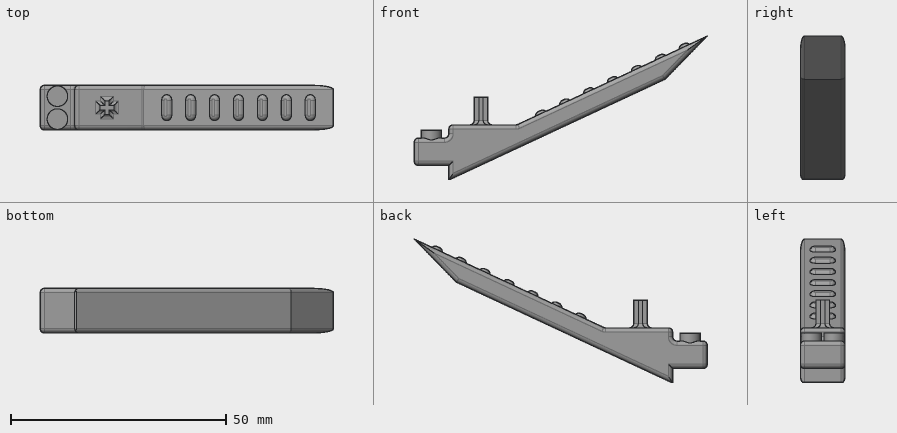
import cadquery as cq
import math

length = 68.1
width = 10.4
height = 33.3

edge_radius = 1.0
nose_bottom = 3.2
nose_top = 9.6
step_x = 8.05
shelf_top = 12.65
slope = math.tan(math.radians(25))
ramp_start_x = length - (height - shelf_top) / slope
heel_x = step_x + 0.4
underside_end_x = 58.3
underside_end_z = (underside_end_x - heel_x) * slope
overrun = 13.6

peg_diameter = 4.8
peg_x = 4.0
peg_spacing = 5.3
peg_top = 11.45

post_x = 15.5
post_top = 19.05
post_span = 3.2
post_arm = 1.0
post_flare = 1.0

rib_count = 7
rib_pitch = 6.1
first_rib_distance = 6.1
rib_length = 6.1
rib_width = 2.7
rib_height = 0.7
rib_round = 1.0


def side_prism(points):
    """Extrude an XZ outline symmetrically across the full width."""
    return cq.Workplane("XZ").polyline(points).close().extrude(width / 2, both=True)


def edge_across(x, z):
    """Selector for the edge that runs along Y through (x, z)."""
    gap = 0.1
    return cq.selectors.BoxSelector((x - gap, -width, z - gap), (x + gap, width, z + gap))


def make_body():
    far_x = length + overrun
    far_rise = overrun * slope
    body = side_prism([
        (0, nose_bottom),
        (step_x, nose_bottom),
        (step_x, (step_x - heel_x) * slope),
        (far_x, (far_x - heel_x) * slope),
        (far_x, height + far_rise),
        (ramp_start_x, shelf_top),
        (step_x, shelf_top),
        (step_x, nose_top),
        (0, nose_top),
    ])
    rounded_corners = [
        (0, nose_bottom),
        (0, nose_top),
        (step_x, nose_top),
        (step_x, shelf_top),
        (ramp_start_x, shelf_top),
    ]
    edges = body.edges("<Y or >Y")
    for x, z in rounded_corners:
        edges = edges.add(body.edges(edge_across(x, z)))
    body = edges.fillet(edge_radius)

    tip_slope = (height - underside_end_z) / (length - underside_end_x)
    low_x = underside_end_x - underside_end_z / tip_slope - overrun
    high_x = length + overrun
    low_z = -overrun * tip_slope
    high_z = height + overrun * tip_slope
    tip = side_prism([(low_x, low_z), (high_x, high_z), (-overrun, high_z), (-overrun, low_z)])
    tip_face = tip.faces(cq.selectors.DirectionMinMaxSelector(cq.Vector(tip_slope, 0, -1), True))
    tip = tip_face.edges("<Y or >Y").fillet(edge_radius)
    body = body.intersect(tip)

    above_base = cq.Workplane("XY").box(3 * length, 2 * width, 2 * height, centered=(True, True, False))
    return body.intersect(above_base)


def make_pegs():
    return (
        cq.Workplane("XY", origin=(peg_x, 0, nose_bottom + edge_radius))
        .pushPoints([(0, -peg_spacing / 2), (0, peg_spacing / 2)])
        .circle(peg_diameter / 2)
        .extrude(peg_top - nose_bottom - edge_radius)
    )


def flared_bar(span, depth):
    """Bar of the post profile along X, flaring out at its foot by quarter rounds."""
    half = span / 2
    foot = half + post_flare
    reach = post_flare * (1 - math.sqrt(0.5))
    foot_top = post_flare
    return (
        cq.Workplane("XZ")
        .moveTo(-foot, 0)
        .threePointArc((-half - reach, reach), (-half, foot_top))
        .lineTo(-half, post_top - shelf_top)
        .lineTo(half, post_top - shelf_top)
        .lineTo(half, foot_top)
        .threePointArc((half + reach, reach), (foot, 0))
        .lineTo(foot, -edge_radius)
        .lineTo(-foot, -edge_radius)
        .close()
        .extrude(depth, both=True)
    )


def make_post():
    def flared_block(span_x, span_y):
        across = flared_bar(span_y, length).rotate((0, 0, 0), (0, 0, 1), 90)
        return flared_bar(span_x, length).intersect(across)

    post = flared_block(post_span, post_arm).union(flared_block(post_arm, post_span))
    return post.translate((post_x, 0, shelf_top))


def make_rib(distance):
    ramp = cq.Plane(
        origin=(ramp_start_x, 0, shelf_top),
        xDir=(1, 0, slope),
        normal=(-slope, 0, 1),
    )
    return (
        cq.Workplane(ramp)
        .workplane(offset=rib_height - rib_round - 0.15)
        .center(distance, 0)
        .slot2D(rib_length, rib_width, 90)
        .extrude(rib_round + 0.15)
        .faces(cq.selectors.DirectionMinMaxSelector(ramp.zDir, True))
        .edges()
        .fillet(rib_round)
    )


result = make_body().union(make_pegs()).union(make_post())
for index in range(rib_count):
    result = result.union(make_rib(first_rib_distance + index * rib_pitch))